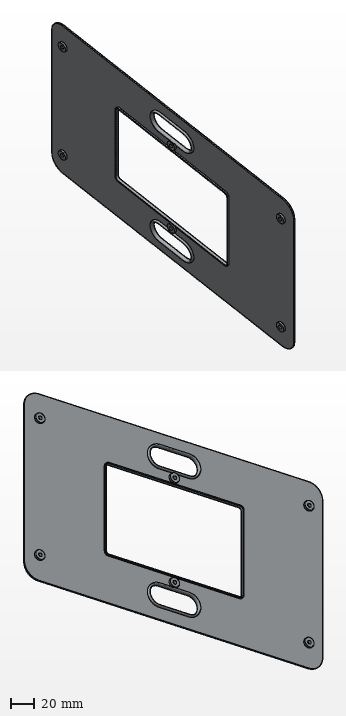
import cadquery as cq

plate_length = 305.8
plate_height = 185.2
plate_thickness = 1.5
plate_corner_radius = 14.5

total_depth = 3.5
boss_depth = total_depth
slot_rim_depth = total_depth
window_rim_depth = 3.0

window_length = 140.2
window_height = 90.0
window_corner_radius = 3.0
window_rim_width = 1.15

slot_length = 49.8
slot_height = 19.6
slot_offset = 68.8
slot_rim_width = 2.1
slot_rim_rounding = 1.0

boss_diameter = 9.4
boss_hole_diameter = 3.4
corner_boss_x = 138.0
corner_boss_z = 68.0
middle_boss_z = 52.0

SIDES = (1, -1)
boss_centers = [(x * corner_boss_x, z * corner_boss_z) for x in SIDES for z in SIDES]
boss_centers += [(0, z * middle_boss_z) for z in SIDES]
slot_centers = [(0, z * slot_offset) for z in SIDES]


def back_plane():
    """Sketch plane on the back face; extrusions go toward -Y."""
    return cq.Workplane("XZ")


def rounded_block(length, height, radius, depth):
    """Rectangular block with rounded corners, from the back face forward."""
    return back_plane().rect(length, height).extrude(depth).edges("|Y").fillet(radius)


def slot_blocks(length, height, depth):
    """Pair of obround blocks at the handle slots."""
    return back_plane().pushPoints(slot_centers).slot2D(length, height).extrude(depth)


def bosses(diameter):
    """Cylinders at every screw position."""
    return back_plane().pushPoints(boss_centers).circle(diameter / 2).extrude(boss_depth)


def window_rim_block():
    """Solid block with the outer shape of the window rim."""
    return rounded_block(
        window_length + 2 * window_rim_width,
        window_height + 2 * window_rim_width,
        window_corner_radius + window_rim_width,
        window_rim_depth,
    )


def slot_rims(slot_openings):
    """Rims around the handle slots, with both front edges rounded."""
    rim_blocks = slot_blocks(
        slot_length + 2 * slot_rim_width,
        slot_height + 2 * slot_rim_width,
        slot_rim_depth,
    )
    return rim_blocks.cut(slot_openings).faces("<Y").edges().fillet(slot_rim_rounding)


plate = rounded_block(plate_length, plate_height, plate_corner_radius, plate_thickness)
window = rounded_block(window_length, window_height, window_corner_radius, total_depth)
slots = slot_blocks(slot_length, slot_height, total_depth)

raised = plate.union(window_rim_block()).union(bosses(boss_diameter))
raised = raised.cut(slots).union(slot_rims(slots))
result = raised.cut(window).cut(bosses(boss_hole_diameter))